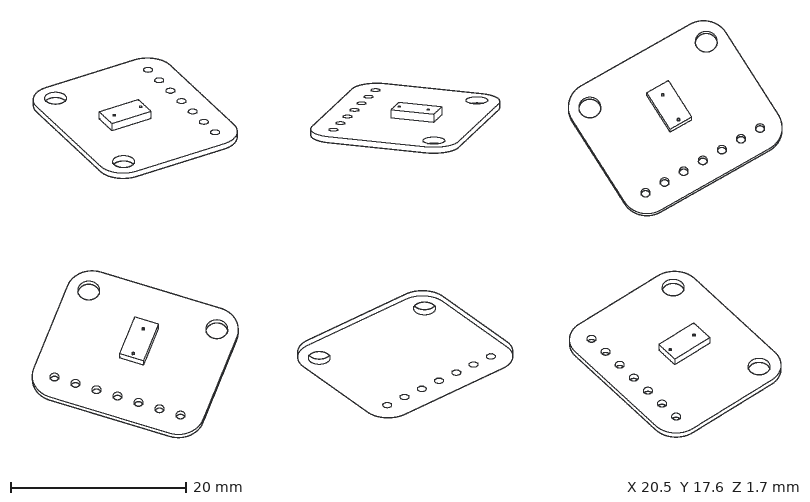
import cadquery as cq

board_length = 20.5
board_width = 17.6
board_thickness = 0.74
corner_radius = 3.0

pin_count = 7
pin_pitch = 2.55
pin_diameter = 1.02
pin_row_y = 6.1

mount_diameter = 2.5
mount_spacing = 15.5
mount_y = -6.03

total_height = 1.7
sensor_length = 2.9
sensor_width = 5.17
sensor_height = total_height - board_thickness
sensor_y = -1.33

port_diameter = 0.3
port_spacing = 3.48
port_y = -1.02
port_depth = 0.2


def make_board():
    """Rounded plate with its pin and mounting holes."""
    plate = (
        cq.Workplane("XY")
        .rect(board_length, board_width)
        .extrude(board_thickness)
        .edges("|Z")
        .fillet(corner_radius)
    )
    pin_holes = (
        cq.Workplane("XY")
        .center(0, pin_row_y)
        .rarray(pin_pitch, 0.2, pin_count, 1)
        .circle(pin_diameter / 2)
        .extrude(board_thickness)
    )
    mount_holes = (
        cq.Workplane("XY")
        .center(0, mount_y)
        .rarray(mount_spacing, 0.2, 2, 1)
        .circle(mount_diameter / 2)
        .extrude(board_thickness)
    )
    return plate.cut(pin_holes).cut(mount_holes)


def make_sensor():
    """Rectangular package with two blind ports in its top face."""
    package = (
        cq.Workplane("XY", origin=(0, sensor_y, board_thickness))
        .rect(sensor_length, sensor_width)
        .extrude(sensor_height)
    )
    ports = (
        cq.Workplane("XY", origin=(0, port_y, total_height))
        .rarray(0.2, port_spacing, 1, 2)
        .circle(port_diameter / 2)
        .extrude(-port_depth)
    )
    return package.cut(ports)


result = make_board().union(make_sensor())